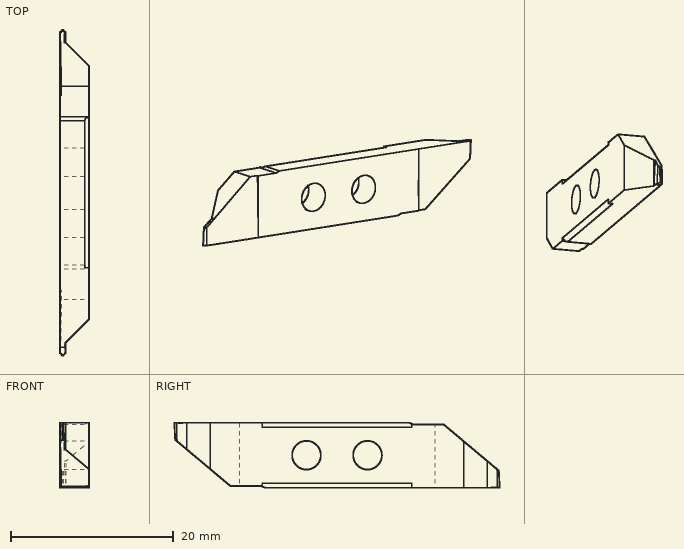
import cadquery as cq
import math

length = 40.0
height = 8.0
thickness = 3.6
half_length = length / 2
half_height = height / 2

tip_height = 2.0
end_slope_angle = 40.0
end_step = 0.2
step_outer_y = 9.35
step_inner_y = 8.85

nose_width = 0.7
nose_root_y = 18.45
nose_clearance_angle = 3.0
tip_bevel = 0.3
rake_start_y = 19.0
rake_drop = 0.02

side_clearance_start_y = 12.0
side_clearance_angle = 1.4

chamfer_half_length = 9.2
chamfer_size = 0.55

hole_diameter = 3.5
hole_spacing = 7.5

margin = 1.0


def turned(body):
    """The same body at the opposite end: half a turn about the X axis."""
    return body.rotate((0, 0, 0), (1, 0, 0), 180)


def blank():
    """Side outline of the bar, extruded across its thickness."""
    shoulder_z = half_height - end_step
    nose_z = tip_height - half_height
    slope_top_y = half_length - (shoulder_z - nose_z) / math.tan(math.radians(end_slope_angle))
    upper_half = [
        (half_length, nose_z),
        (slope_top_y, shoulder_z),
        (step_outer_y, shoulder_z),
        (step_inner_y, half_height),
        (-half_length, half_height),
    ]
    lower_half = [(-y, -z) for y, z in upper_half]
    return cq.Workplane("YZ").polyline(upper_half + lower_half).close().extrude(thickness)


def nose_plan():
    """Plan outline that narrows both ends to a slim nose through 45 degree flanks."""
    flank_y = nose_root_y - (thickness - nose_width)
    far_end = [
        (thickness, flank_y),
        (nose_width, nose_root_y),
        (nose_width, half_length),
        (0, half_length),
    ]
    near_end = [(x, -y) for x, y in reversed(far_end)]
    outline = cq.Workplane("XY").workplane(offset=-half_height).polyline(far_end + near_end)
    return outline.close().extrude(height)


def end_cut(outline, start_y):
    """Cutting body with the given XZ outline, reaching from start_y past the -Y end."""
    reach = half_length - start_y + margin
    return cq.Workplane("XZ", origin=(0, -start_y, 0)).polyline(outline).close().extrude(reach)


def side_clearance():
    """Wedge taken off the flat side at the -Y end, deepening downwards from the top edge."""
    depth = height * math.tan(math.radians(side_clearance_angle))
    wedge = [(0, half_height), (depth, -half_height), (-margin, -half_height), (-margin, half_height)]
    return end_cut(wedge, side_clearance_start_y)


def inner_nose_clearance():
    """Wedge taken off the inner flank of the nose at the -Y end, deepening downwards."""
    depth = height * math.tan(math.radians(nose_clearance_angle))
    wedge = [
        (nose_width, half_height),
        (nose_width - depth, -half_height),
        (thickness, -half_height),
        (thickness, half_height),
    ]
    return end_cut(wedge, nose_root_y)


def tip_cut():
    """Body that bevels both corners of the tip at the -Y end and leans it inwards below the top edge."""
    bevel_y = -half_length + tip_bevel
    outside_y = -half_length - margin
    outline = [
        (-margin, bevel_y),
        (0, bevel_y),
        (tip_bevel, -half_length),
        (nose_width - tip_bevel, -half_length),
        (nose_width, bevel_y),
        (nose_width + margin, bevel_y),
        (nose_width + margin, outside_y),
        (-margin, outside_y),
    ]
    start = cq.Workplane("XY", origin=(0, 0, -half_height))
    body = start.polyline(outline).close().extrude(height + margin)
    edge_start = (0, -half_length, half_height)
    edge_end = (1, -half_length, half_height)
    return body.rotate(edge_start, edge_end, nose_clearance_angle)


def rake_cut():
    """Shallow rake on top of the nose, falling from the tip to a small step behind it."""
    rake = [
        (-half_length, half_height),
        (-rake_start_y, half_height - rake_drop),
        (-rake_start_y, half_height),
    ]
    return cq.Workplane("YZ").polyline(rake).close().extrude(nose_width)


def back_chamfer():
    """45 degree chamfer along the middle of the upper back edge."""
    corner = [
        (thickness, half_height - chamfer_size),
        (thickness - chamfer_size, half_height),
        (thickness, half_height),
    ]
    start = cq.Workplane("XZ", origin=(0, chamfer_half_length, 0))
    return start.polyline(corner).close().extrude(2 * chamfer_half_length)


def holes():
    """Two plain holes through the thickness."""
    places = [(-hole_spacing / 2, 0), (hole_spacing / 2, 0)]
    return cq.Workplane("YZ").pushPoints(places).circle(hole_diameter / 2).extrude(thickness)


result = blank().intersect(nose_plan())
end_cuts = [
    side_clearance(),
    inner_nose_clearance(),
    tip_cut(),
    rake_cut(),
    back_chamfer(),
]
for cut in end_cuts:
    result = result.cut(cut).cut(turned(cut))
result = result.cut(holes())